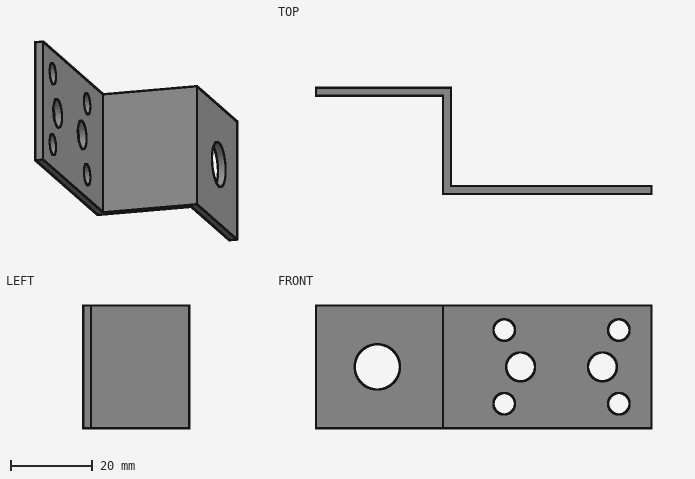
import cadquery as cq

length = 82.0
depth = 26.0
height = 30.0
thickness = 2.0
web_x = 31.0

mount_hole_x = 15.0
mount_hole_diameter = 11.0
pattern_center_x = 60.0
shaft_hole_spacing = 20.0
shaft_hole_diameter = 7.0
screw_spacing_x = 28.0
screw_spacing_z = 18.0
screw_hole_diameter = 5.2

mid_z = height / 2


def z_bracket():
    """Z-shaped sheet profile in the XY plane, extruded along Z."""
    web_end_x = web_x + thickness
    profile = [
        (web_x, 0),
        (length, 0),
        (length, thickness),
        (web_end_x, thickness),
        (web_end_x, depth),
        (0, depth),
        (0, depth - thickness),
        (web_x, depth - thickness),
    ]
    return cq.Workplane("XY").polyline(profile).close().extrude(height)


def flange_hole(x, z, diameter, flange_y):
    """Cylinder along Y that passes through the flange whose front face is at flange_y."""
    return (
        cq.Workplane("XZ", origin=(x, flange_y, z))
        .circle(diameter / 2)
        .extrude(-thickness)
    )


result = z_bracket()

result = result.cut(flange_hole(mount_hole_x, mid_z, mount_hole_diameter, depth - thickness))

for side_x in (-1, 1):
    shaft_x = pattern_center_x + side_x * shaft_hole_spacing / 2
    result = result.cut(flange_hole(shaft_x, mid_z, shaft_hole_diameter, 0))
    screw_x = pattern_center_x + side_x * screw_spacing_x / 2
    for side_z in (-1, 1):
        screw_z = mid_z + side_z * screw_spacing_z / 2
        result = result.cut(flange_hole(screw_x, screw_z, screw_hole_diameter, 0))